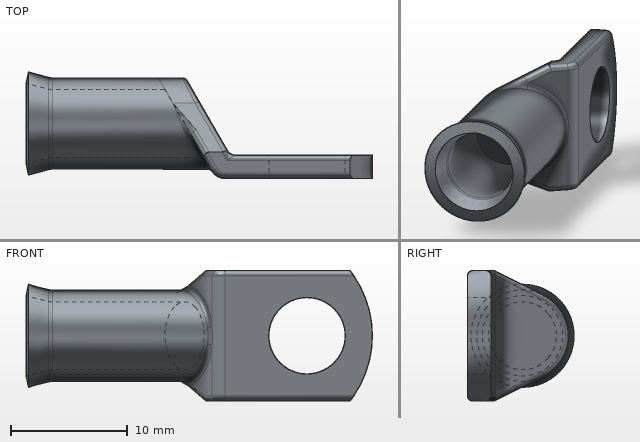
import cadquery as cq
import math

barrel_radius = 3.92
bore_radius = 2.9
flare_radius = 4.42
flare_bore_radius = 3.45
rim_setback = 0.2
flare_length = 2.08
flare_blend_radius = 1.34

total_length = 29.67
palm_width = 11.2
plate_thickness = 2.02
palm_bottom_y = -4.72
palm_end_radius = 9.08
hole_radius = 3.25
hole_x = 24.05

bend_angle = 60.0
bend_x = 17.48
inner_bend_radius = 0.75
outer_bend_radius = 1.28
flank_angle = 26.5
edge_radius = 0.47

palm_top_y = palm_bottom_y + plate_thickness
half_width = palm_width / 2
slope_run = 1 / math.tan(math.radians(bend_angle))
lower_bend_x = bend_x - plate_thickness * math.tan(math.radians(bend_angle / 2))
flank = math.radians(flank_angle)
tangent_y = barrel_radius * math.sin(flank)
tangent_z = barrel_radius * math.cos(flank)
shoulder_y = tangent_y - (half_width - tangent_z) / math.tan(flank)

clearance = 0.3
tolerance = 0.015


def upper_slope_x(y):
    return bend_x - (y - palm_top_y) * slope_run


def lower_slope_x(y):
    return lower_bend_x - (y - palm_bottom_y) * slope_run


def make_bent_plate():
    """Bent strip, trimmed to flanks that run tangent onto the barrel."""
    top_y = barrel_radius + clearance
    strip = (
        cq.Workplane("XY")
        .moveTo(lower_slope_x(top_y), top_y)
        .lineTo(lower_bend_x, palm_bottom_y)
        .lineTo(total_length, palm_bottom_y)
        .lineTo(total_length, palm_top_y)
        .lineTo(bend_x, palm_top_y)
        .lineTo(upper_slope_x(top_y), top_y)
        .close()
        .extrude(half_width, both=True)
    )
    outer_bend = cq.NearestToPointSelector((lower_bend_x, palm_bottom_y, 0))
    strip = strip.edges(outer_bend).fillet(outer_bend_radius)

    flanks = (
        cq.Workplane("YZ")
        .moveTo(palm_bottom_y, -half_width)
        .lineTo(shoulder_y, -half_width)
        .lineTo(tangent_y, -tangent_z)
        .lineTo(tangent_y, tangent_z)
        .lineTo(shoulder_y, half_width)
        .lineTo(palm_bottom_y, half_width)
        .close()
        .extrude(total_length)
    )
    crown = cq.Workplane("YZ").circle(barrel_radius).extrude(total_length)
    envelope = flanks.union(crown)
    return strip.intersect(envelope)


def behind_web():
    """Space on the barrel side of the web's lower face."""
    return (
        cq.Workplane("XY")
        .moveTo(0, flare_radius)
        .lineTo(lower_slope_x(flare_radius), flare_radius)
        .lineTo(lower_slope_x(-flare_radius), -flare_radius)
        .lineTo(0, -flare_radius)
        .close()
        .extrude(flare_radius, both=True)
    )


def revolve_flared(rim, body_radius):
    """Round body that opens up into a cone at the mouth, with a blend where the two meet."""
    mouth_x, mouth_radius = rim[-1]
    blend_reach = flare_blend_radius * math.tan(
        math.atan2(mouth_radius - body_radius, flare_length - mouth_x) / 2
    )
    cone_length = math.hypot(flare_length - mouth_x, mouth_radius - body_radius)
    blend_share = blend_reach / cone_length
    blend_start = (
        flare_length - blend_share * (flare_length - mouth_x),
        body_radius + blend_share * (mouth_radius - body_radius),
    )
    return (
        cq.Workplane("XY")
        .polyline([(0, 0), *rim, blend_start])
        .tangentArcPoint((flare_length + blend_reach, body_radius), relative=False)
        .lineTo(total_length, body_radius)
        .lineTo(total_length, 0)
        .close()
        .revolve(360, (0, 0, 0), (1, 0, 0))
    )


def on_upper_rim(edge):
    """Edges round the plate's upper face, leaving out the bend line and the palm's end."""
    middle = edge.positionAt(0.5)
    on_slope = abs(middle.x - upper_slope_x(middle.y)) < tolerance
    on_palm = abs(middle.y - palm_top_y) < tolerance
    along_side = edge.BoundingBox().xlen > tolerance
    over_crown = on_slope and middle.y > tangent_y
    return over_crown or ((on_slope or on_palm) and along_side)


def on_lower_rim(edge):
    """Edges of the plate's lower face, together with the root of the barrel."""
    box = edge.BoundingBox()
    middle = edge.positionAt(0.5)
    on_slope = abs(middle.x - lower_slope_x(middle.y)) < tolerance
    on_palm = abs(middle.y - palm_bottom_y) < tolerance
    in_bend = edge.geomType() == "CIRCLE" and box.ymin < palm_bottom_y + tolerance
    outside_barrel = box.ymin < shoulder_y + tolerance
    return box.xlen > tolerance and outside_barrel and (on_slope or on_palm or in_bend)


def round_edges(body, belongs, radius):
    rim = [edge for edge in body.edges().vals() if belongs(edge)]
    return cq.Workplane(body.val().fillet(radius, rim))


def make_palm_cutter():
    """Everything beyond the palm's arched end, plus the bolt hole."""
    arch_drop = palm_end_radius - math.sqrt(palm_end_radius**2 - half_width**2)
    beyond_end = (
        cq.Workplane("XZ")
        .moveTo(total_length - arch_drop, -half_width)
        .threePointArc((total_length, 0), (total_length - arch_drop, half_width))
        .lineTo(total_length + clearance, half_width)
        .lineTo(total_length + clearance, -half_width)
        .close()
        .extrude(total_length, both=True)
    )
    hole = cq.Workplane("XZ").center(hole_x, 0).circle(hole_radius).extrude(total_length, both=True)
    return beyond_end.union(hole)


inner_rim = (0, flare_bore_radius)
outer_rim = (rim_setback, flare_radius)
barrel = revolve_flared([inner_rim, outer_rim], barrel_radius).intersect(behind_web())
bore = revolve_flared([inner_rim], bore_radius).intersect(behind_web())

body = round_edges(make_bent_plate(), on_upper_rim, edge_radius)
body = body.union(barrel)
body = round_edges(body, on_lower_rim, edge_radius)
body = body.edges(cq.NearestToPointSelector((bend_x, palm_top_y, 0))).fillet(inner_bend_radius)

result = body.cut(bore).cut(make_palm_cutter())